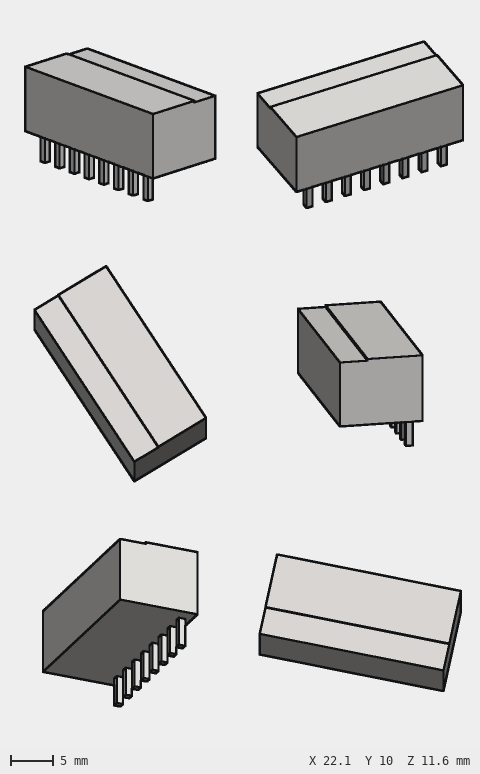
import cadquery as cq

length = 22.12
depth = 10.0
overall_height = 11.6
pin_length = 3.5
body_height = overall_height - pin_length
raised_depth = depth * 2 / 3
step_height = 0.2

pin_count = 8
pin_pitch = 2.55
pin_width = 0.8
pin_row_setback = 1.2

front_y = -depth / 2
back_y = depth / 2
step_y = front_y + raised_depth
pin_row_y = front_y + pin_row_setback


def make_body():
    """Stepped side profile extruded along X, underside at Z = 0."""
    profile = [
        (front_y, 0),
        (back_y, 0),
        (back_y, body_height - step_height),
        (step_y, body_height - step_height),
        (step_y, body_height),
        (front_y, body_height),
    ]
    return cq.Workplane("YZ").polyline(profile).close().extrude(length / 2, both=True)


def make_pins():
    """Evenly spaced row of pins hanging below the body, centred on its length."""
    return (
        cq.Workplane("XY")
        .center(0, pin_row_y)
        .rarray(pin_pitch, 0.22, pin_count, 1)
        .rect(pin_width, pin_width)
        .extrude(-pin_length)
    )


result = make_body().union(make_pins())